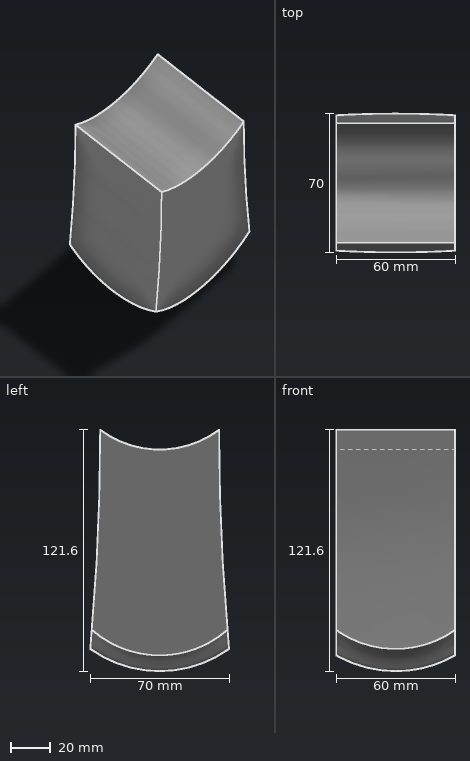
import cadquery as cq
import math

width = 60.0
height = 121.6
saddle_radius = 50.0
dome_radius = 60.0
foot_depth = 70.0

half_width = width / 2
foot_half_depth = foot_depth / 2
saddle_depth = saddle_radius - math.sqrt(saddle_radius**2 - half_width**2)

foot_z = dome_radius - math.sqrt(dome_radius**2 - foot_half_depth**2)
flare_drop = height - foot_z
flare_offset = foot_half_depth - half_width
flare_radius = (flare_drop**2 + flare_offset**2) / (2 * flare_offset)


def flare_half_depth(z):
    """Half the depth along Y at height z on the flared side."""
    drop = height - z
    return half_width + flare_radius - math.sqrt(flare_radius**2 - drop**2)


def flared_block():
    """Block with a saddle top and flared sides, extruded along X from z = 0."""
    middle_z = height / 2
    middle_y = flare_half_depth(middle_z)
    bottom_y = flare_half_depth(0)
    return (
        cq.Workplane("YZ")
        .moveTo(-bottom_y, 0)
        .lineTo(bottom_y, 0)
        .threePointArc((middle_y, middle_z), (half_width, height))
        .threePointArc((0, height - saddle_depth), (-half_width, height))
        .threePointArc((-middle_y, middle_z), (-bottom_y, 0))
        .close()
        .extrude(half_width, both=True)
    )


def dome_envelope():
    """Upright cylinder with a hemispherical lower end, touching z = 0."""
    sphere = cq.Workplane("XY").sphere(dome_radius).translate((0, 0, dome_radius))
    column = (
        cq.Workplane("XY")
        .workplane(offset=dome_radius)
        .circle(dome_radius)
        .extrude(height)
    )
    return sphere.union(column)


result = flared_block().intersect(dome_envelope())